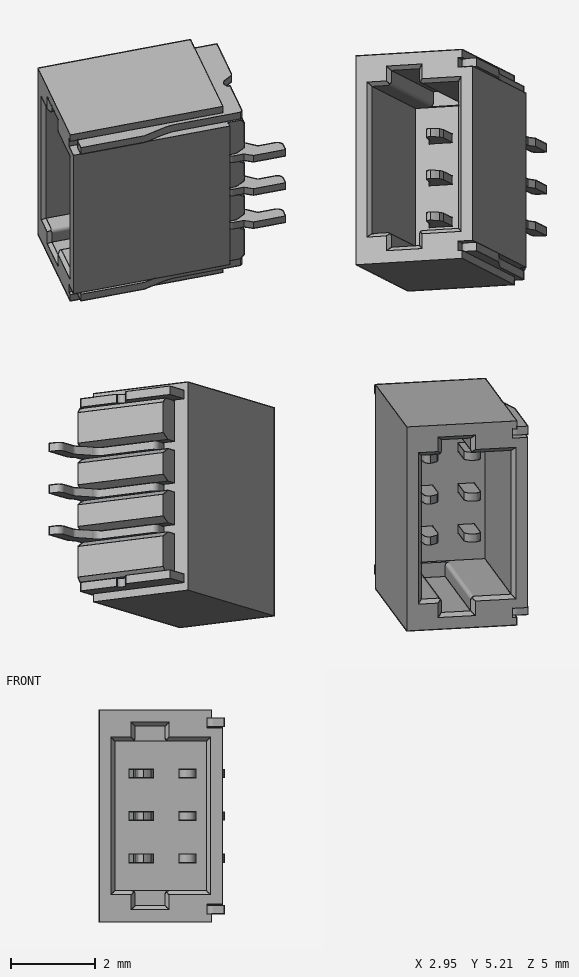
import cadquery as cq


HEIGHT = 5.0
HOUSING_WIDTH = 2.645
HOUSING_DEPTH = 3.755
BOARD_SIDE_X = 2.905
BOARD_SIDE_DEPTH = 3.85
BOARD_X = 2.95

CAVITY_X = (0.37, 2.525)
CAVITY_HALF_HEIGHT = 1.76
CAVITY_DEPTH = 3.23
KEY_X = (0.85, 1.55)
KEY_HALF_HEIGHT = 2.115
KEY_DEPTH = 3.125
LEAD_IN = 0.095
KEY_EDGE_RADIUS = 0.095

PLATE_INNER_Z = 2.105
PLATE_OUTER_Z = 2.31
SLOT_INNER_Z = 2.085
SLOT_X = 2.54
PLATE_FRONT_Y = 0.17
PLATE_FRONT_RADIUS = 0.155
PLATE_REAR_X = 2.745
PLATE_REAR_Y = 4.375
PLATE_STEP_X = 1.71
PLATE_STEP_Y = 4.215
PLATE_LEFT_X = 0.105
PLATE_CORNER_CUT = 0.05
PLATE_ROOT_Y = 3.44

CARRIER_X = (0.37, 2.765)
CARRIER_REAR_Y = 4.25
CARRIER_HALF_HEIGHT = 2.085
CARRIER_BEVEL = 0.095
CARRIER_BEVEL_DEPTH = 0.11

PITCH = 1.0
CONTACT_THICKNESS = 0.2
CONTACT_OPENING = 0.22
CONTACT_LEVELS = (-PITCH, 0, PITCH)
PRONG_X = ((0.705, 1.275), (1.885, 2.275))
PRONG_OPENING_DEPTH = 0.155
FORK_Y = 3.545
SPINE_Y = 4.125
SHOULDER_X = 0.655
TAIL_END_Y = 5.21
TAIL_INNER_X = 2.625
TAIL_RADIUS = 0.155
TAIL_HEEL_X = 2.83
NOTCH_DEPTH = 0.205
NOTCH_FLARE = 0.13


def box(x, y, z):
    """Box spanning the given (low, high) pairs."""
    size = (x[1] - x[0], y[1] - y[0], z[1] - z[0])
    return cq.Workplane("XY").box(*size, centered=False).translate((x[0], y[0], z[0]))


def lead_in(x, half_height):
    """Bevel that widens a rectangular opening at the housing face."""
    wide = (x[1] - x[0] + 2 * LEAD_IN, 2 * (half_height + LEAD_IN))
    return (
        cq.Workplane("XZ", origin=(sum(x) / 2, 0, 0))
        .rect(*wide)
        .extrude(-2 * LEAD_IN, taper=45)
        .intersect(box((0, HOUSING_WIDTH), (0, LEAD_IN), (-HEIGHT / 2, HEIGHT / 2)))
    )


def make_housing():
    """Shrouded body with its keyed cavity, plate slots and prong openings."""
    half = HEIGHT / 2
    body = box((0, HOUSING_WIDTH), (0, HOUSING_DEPTH), (-half, half))
    band = box((SLOT_X, BOARD_SIDE_X), (0, BOARD_SIDE_DEPTH), (-SLOT_INNER_Z, SLOT_INNER_Z))
    body = body.union(band)

    cavity = box(CAVITY_X, (0, CAVITY_DEPTH), (-CAVITY_HALF_HEIGHT, CAVITY_HALF_HEIGHT))
    keyway = box(KEY_X, (0, KEY_DEPTH), (-KEY_HALF_HEIGHT, KEY_HALF_HEIGHT))
    margin = KEY_EDGE_RADIUS / 2
    key_edges = cq.selectors.BoxSelector(
        (KEY_X[0] - margin, margin, -CAVITY_HALF_HEIGHT - margin),
        (KEY_X[1] + margin, KEY_DEPTH - margin, CAVITY_HALF_HEIGHT + margin),
    )
    body = body.cut(cavity.union(keyway).edges("|Y").edges(key_edges).fillet(KEY_EDGE_RADIUS))
    body = body.cut(lead_in(CAVITY_X, CAVITY_HALF_HEIGHT))
    body = body.cut(lead_in(KEY_X, KEY_HALF_HEIGHT))

    slot = box((SLOT_X, BOARD_SIDE_X), (0, HOUSING_DEPTH), (SLOT_INNER_Z, PLATE_OUTER_Z))
    body = body.cut(slot).cut(slot.mirror("XY"))

    opening_y = (CAVITY_DEPTH, CAVITY_DEPTH + PRONG_OPENING_DEPTH)
    for level in CONTACT_LEVELS:
        opening_z = (level - CONTACT_OPENING / 2, level + CONTACT_OPENING / 2)
        for prong_x in PRONG_X:
            body = body.cut(box(prong_x, opening_y, opening_z))
    return body


def make_side_plate():
    """Upper side plate: tail along the board side, notched edge behind the housing."""
    return (
        cq.Workplane("XY", origin=(0, 0, PLATE_INNER_Z))
        .moveTo(SLOT_X + PLATE_FRONT_RADIUS, PLATE_FRONT_Y)
        .lineTo(BOARD_X, PLATE_FRONT_Y)
        .lineTo(BOARD_X, 1.74)
        .lineTo(2.8, 2.24)
        .tangentArcPoint((PLATE_REAR_X, 2.565), relative=False)
        .lineTo(PLATE_REAR_X, PLATE_STEP_Y - PLATE_CORNER_CUT)
        .lineTo(PLATE_REAR_X - PLATE_CORNER_CUT, PLATE_STEP_Y)
        .lineTo(PLATE_STEP_X, PLATE_STEP_Y)
        .lineTo(PLATE_STEP_X, 4.165)
        .threePointArc((1.595, 4.095), (1.48, 4.165))
        .lineTo(1.38, 4.315)
        .threePointArc((1.34, 4.36), (1.275, PLATE_REAR_Y))
        .lineTo(PLATE_LEFT_X, PLATE_REAR_Y)
        .lineTo(PLATE_LEFT_X, PLATE_ROOT_Y)
        .lineTo(SLOT_X, PLATE_ROOT_Y)
        .lineTo(SLOT_X, PLATE_FRONT_Y + PLATE_FRONT_RADIUS)
        .radiusArc((SLOT_X + PLATE_FRONT_RADIUS, PLATE_FRONT_Y), -PLATE_FRONT_RADIUS)
        .close()
        .extrude(PLATE_OUTER_Z - PLATE_INNER_Z)
    )


def make_carrier():
    """Rear block with bevelled ends and a flared notch at each contact."""
    carrier_y = (HOUSING_DEPTH, CARRIER_REAR_Y)
    carrier = box(CARRIER_X, carrier_y, (-CARRIER_HALF_HEIGHT, CARRIER_HALF_HEIGHT))
    carrier = carrier.faces(">Y").edges("|X").chamfer(CARRIER_BEVEL_DEPTH, CARRIER_BEVEL)
    half = CONTACT_OPENING / 2
    flare = half + NOTCH_FLARE
    neck_y = CARRIER_REAR_Y - NOTCH_DEPTH
    notch = (
        cq.Workplane("YZ", origin=(CARRIER_X[0], 0, 0))
        .polyline([
            (HOUSING_DEPTH, -half), (neck_y, -half), (CARRIER_REAR_Y, -flare),
            (CARRIER_REAR_Y, flare), (neck_y, half), (HOUSING_DEPTH, half),
        ])
        .close()
        .extrude(CARRIER_X[1] - CARRIER_X[0])
    )
    for level in CONTACT_LEVELS:
        carrier = carrier.cut(notch.translate((0, 0, level)))
    return carrier


def make_contact():
    """Flat forked contact: two prongs in the cavity, one solder tail behind the carrier."""
    long_prong, short_prong = PRONG_X
    return (
        cq.Workplane("XY", origin=(0, 0, -CONTACT_THICKNESS / 2))
        .moveTo(long_prong[0], 3.645)
        .lineTo(long_prong[0], 3.23)
        .lineTo(0.815, 2.92)
        .lineTo(0.85, 2.875)
        .lineTo(0.915, 2.45)
        .threePointArc((0.965, 2.37), (1.04, 2.345))
        .lineTo(1.135, 2.395)
        .lineTo(1.225, 2.465)
        .lineTo(long_prong[1], 2.605)
        .lineTo(long_prong[1], FORK_Y)
        .lineTo(short_prong[0], FORK_Y)
        .lineTo(short_prong[0], 2.555)
        .threePointArc((1.96, 2.445), (2.08, 2.395))
        .lineTo(2.135, 2.395)
        .threePointArc((2.235, 2.445), (short_prong[1], 2.54))
        .lineTo(short_prong[1], FORK_Y)
        .lineTo(2.765, 3.86)
        .threePointArc((2.815, 3.9), (TAIL_HEEL_X, 3.96))
        .lineTo(TAIL_HEEL_X, 4.22)
        .lineTo(BOARD_X, 4.42)
        .lineTo(BOARD_X, TAIL_END_Y)
        .lineTo(TAIL_INNER_X + TAIL_RADIUS, TAIL_END_Y)
        .radiusArc((TAIL_INNER_X, TAIL_END_Y - TAIL_RADIUS), -TAIL_RADIUS)
        .lineTo(TAIL_INNER_X, 4.69)
        .threePointArc((2.62, 4.625), (2.59, 4.575))
        .lineTo(2.35, 4.26)
        .threePointArc((2.27, 4.17), (2.16, SPINE_Y))
        .lineTo(0.81, SPINE_Y)
        .threePointArc((0.705, 4.085), (SHOULDER_X, 3.98))
        .lineTo(SHOULDER_X, 3.895)
        .threePointArc((0.67, 3.76), (long_prong[0], 3.645))
        .close()
        .extrude(CONTACT_THICKNESS)
    )


side_plate = make_side_plate()
contact = make_contact()
result = make_housing().union(make_carrier()).union(side_plate).union(side_plate.mirror("XY"))
for contact_level in CONTACT_LEVELS:
    result = result.union(contact.translate((0, 0, contact_level)))